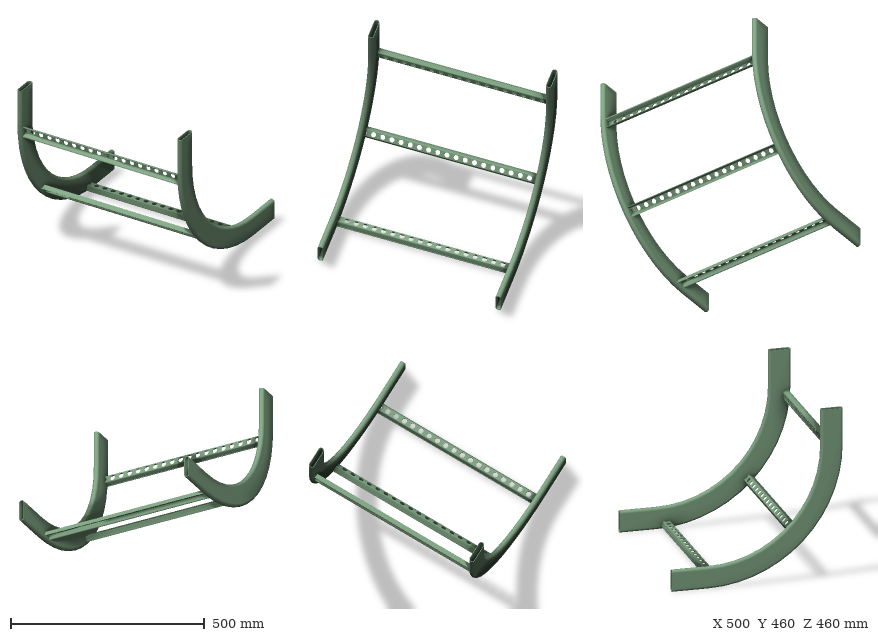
import cadquery as cq
import math

WIDTH = 500.0

RAIL_DEPTH = 60.0
RAIL_THICKNESS = 15.0
RAIL_WALL = 1.5
STRAIGHT_LENGTH = 100.0
OUTER_BEND_RADIUS = 360.0
MIDDLE_BEND_RADIUS = OUTER_BEND_RADIUS - RAIL_DEPTH / 2
RAIL_END = OUTER_BEND_RADIUS + STRAIGHT_LENGTH
RAIL_OFFSET = (WIDTH - RAIL_THICKNESS) / 2

RUNG_LENGTH = WIDTH - 2 * RAIL_THICKNESS
RUNG_WIDTH = 29.0
RUNG_HEIGHT = 14.0
RUNG_SHEET = 2.0
WEB_WIDTH = 19.0
BEND_INSIDE_RADIUS = 0.5
BEND_OUTSIDE_RADIUS = BEND_INSIDE_RADIUS + RUNG_SHEET
WALL_SLOPE = 18.0
RUNG_INSET = 8.0
LEG_RUNG_POSITION = 335.0

HOLE_DIAMETER = 13.5
HOLE_PITCH = 25.0
HOLE_COUNT = 20


def oval_sweep(inset):
    """Flat-oval bar along the rail's centre line, smaller than the tube by `inset` all round."""
    path = (
        cq.Workplane("YZ")
        .moveTo(RAIL_DEPTH / 2, RAIL_END)
        .lineTo(RAIL_DEPTH / 2, OUTER_BEND_RADIUS)
        .radiusArc((OUTER_BEND_RADIUS, RAIL_DEPTH / 2), -MIDDLE_BEND_RADIUS)
        .lineTo(RAIL_END, RAIL_DEPTH / 2)
    )
    return (
        cq.Workplane("XY", origin=(0, RAIL_DEPTH / 2, RAIL_END))
        .slot2D(RAIL_DEPTH - 2 * inset, RAIL_THICKNESS - 2 * inset, 90)
        .sweep(path)
    )


def make_rail(x_center):
    tube = oval_sweep(0).cut(oval_sweep(RAIL_WALL))
    return tube.translate((x_center, 0, 0))


def make_hat():
    """Plain hat section along X, centred at the origin, with its flanges on Z = 0 and its web above."""
    lean = math.tan(math.radians(WALL_SLOPE))
    wall_run = RUNG_SHEET / math.cos(math.radians(WALL_SLOPE))
    flange_end = RUNG_WIDTH / 2
    web_edge = WEB_WIDTH / 2
    web_corner = (web_edge, RUNG_HEIGHT)
    outer_foot = (web_edge + (RUNG_HEIGHT - RUNG_SHEET) * lean, RUNG_SHEET)
    inner_foot = (web_edge + RUNG_HEIGHT * lean - wall_run, 0)
    inner_corner = (web_edge + RUNG_SHEET * lean - wall_run, RUNG_HEIGHT - RUNG_SHEET)
    right_half = [
        web_corner,
        outer_foot,
        (flange_end, RUNG_SHEET),
        (flange_end, 0),
        inner_foot,
        inner_corner,
    ]
    left_half = [(-across, height) for across, height in reversed(right_half)]
    hat = cq.Workplane("YZ").polyline(right_half + left_half).close().extrude(RUNG_LENGTH / 2, both=True)

    bends = [
        (web_corner, BEND_OUTSIDE_RADIUS),
        (inner_corner, BEND_INSIDE_RADIUS),
        (outer_foot, BEND_INSIDE_RADIUS),
        (inner_foot, BEND_OUTSIDE_RADIUS),
    ]
    for (across, height), radius in bends:
        for side in (-1, 1):
            bend_edge = cq.NearestToPointSelector((0, side * across, height))
            hat = hat.edges(bend_edge).fillet(radius)
    return hat


def make_rung(y, z, tilt):
    """Rung centred at X = 0 with its flanges' centre at (y, z) and its web facing +Z before `tilt`."""
    holes = (
        cq.Workplane("XY")
        .rarray(HOLE_PITCH, 5, HOLE_COUNT, 1)
        .circle(HOLE_DIAMETER / 2)
        .extrude(RUNG_HEIGHT)
    )
    rung = make_hat().cut(holes)
    return rung.rotate((0, 0, 0), (1, 0, 0), tilt).translate((0, y, z))


rails = [make_rail(side * RAIL_OFFSET) for side in (-1, 1)]

MIDDLE_RUNG_POSITION = OUTER_BEND_RADIUS - (OUTER_BEND_RADIUS - RUNG_INSET) * math.sqrt(0.5)
RUNG_PLACES = [
    (LEG_RUNG_POSITION, RUNG_INSET, 0),
    (MIDDLE_RUNG_POSITION, MIDDLE_RUNG_POSITION, -45),
    (RUNG_INSET, LEG_RUNG_POSITION, -90),
]
rungs = [make_rung(y, z, tilt) for y, z, tilt in RUNG_PLACES]

result = cq.Compound.makeCompound([body.val() for body in rails + rungs])